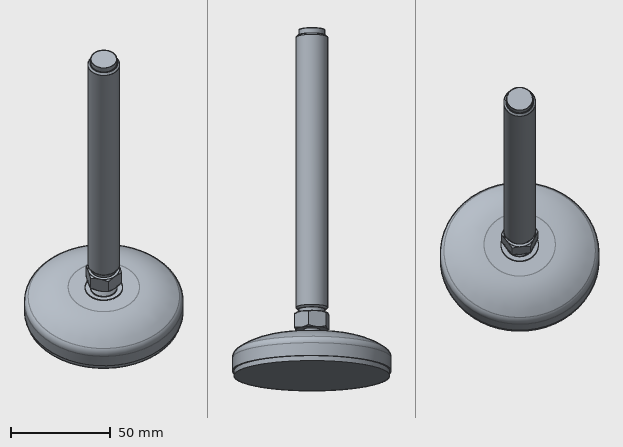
import cadquery as cq
import math

TOTAL_HEIGHT = 176.7

FOOT_DIAMETER = 79.66
PAD_DIAMETER = 78.2
PAD_HEIGHT = 2.5
RIM_TOP = 9.0
FOOT_TOP = 19.1
FOOT_FLAT_DIAMETER = 35.8
SHOULDER_RADIUS = 4.5
SOCKET_DIAMETER = 18.8
SOCKET_DEPTH = 0.5

STEM_DIAMETER = 8.06
CONE_TOP = 21.7
BALL_COLLAR_DIAMETER = 13.4

HEX_FLATS = 16.0
HEX_BOTTOM = 23.7
HEX_HEIGHT = 8.2
HEX_CHAMFER_ANGLE = 30.0
HEX_CHAMFER_DIAMETER = HEX_FLATS

SPINDLE_DIAMETER = 16.0
UNDERCUT_DIAMETER = 13.0
TIP_DIAMETER = 13.0
SPINDLE_BOTTOM = 34.9
LOWER_CHAMFER_HEIGHT = 1.0
LOWER_CHAMFER_DIAMETER = SPINDLE_DIAMETER - 2 * LOWER_CHAMFER_HEIGHT
TIP_LENGTH = 2.8
UPPER_CHAMFER_HEIGHT = 1.0
UPPER_CHAMFER_DIAMETER = SPINDLE_DIAMETER - 2 * UPPER_CHAMFER_HEIGHT


def revolve_about_z(outline):
    """Turn a closed (radius, height) outline about the Z axis."""
    return outline.close().revolve(360, (0, 0, 0), (0, 1, 0))


def cylinder(diameter, bottom, top):
    """Upright cylinder on the Z axis between two heights."""
    return cq.Workplane("XY").workplane(offset=bottom).circle(diameter / 2).extrude(top - bottom)


def make_foot():
    """Domed plate: the dome leaves the flat tangentially and blends into the vertical rim."""
    rim_radius = FOOT_DIAMETER / 2
    flat_radius = FOOT_FLAT_DIAMETER / 2
    dome_rise = FOOT_TOP - RIM_TOP
    shoulder_center = rim_radius - SHOULDER_RADIUS
    center_offset = shoulder_center - flat_radius

    height_terms = dome_rise**2 - SHOULDER_RADIUS**2
    dome_radius = (center_offset**2 + height_terms) / (2 * (dome_rise - SHOULDER_RADIUS))
    dome_center_z = FOOT_TOP - dome_radius
    blend_angle = math.asin(center_offset / (dome_radius - SHOULDER_RADIUS))

    def dome_point(angle):
        radius = flat_radius + dome_radius * math.sin(angle)
        return radius, dome_center_z + dome_radius * math.cos(angle)

    def shoulder_point(angle):
        radius = shoulder_center + SHOULDER_RADIUS * math.sin(angle)
        return radius, RIM_TOP + SHOULDER_RADIUS * math.cos(angle)

    outline = (
        cq.Workplane("XZ")
        .moveTo(0, 0)
        .lineTo(PAD_DIAMETER / 2, 0)
        .lineTo(PAD_DIAMETER / 2, PAD_HEIGHT)
        .lineTo(rim_radius, PAD_HEIGHT)
        .lineTo(rim_radius, RIM_TOP)
        .threePointArc(shoulder_point((blend_angle + math.pi / 2) / 2), dome_point(blend_angle))
        .threePointArc(dome_point(blend_angle / 2), (flat_radius, FOOT_TOP))
        .lineTo(0, FOOT_TOP)
    )
    socket = cylinder(SOCKET_DIAMETER, FOOT_TOP - SOCKET_DEPTH, FOOT_TOP)
    return revolve_about_z(outline).cut(socket)


def make_stem():
    """Cylindrical neck flaring at 45 degrees to a collar that stands in the socket."""
    stem_radius = STEM_DIAMETER / 2
    socket_floor = FOOT_TOP - SOCKET_DEPTH
    collar_radius = BALL_COLLAR_DIAMETER / 2
    cone_bottom = CONE_TOP - (collar_radius - stem_radius)
    outline = (
        cq.Workplane("XZ")
        .moveTo(0, socket_floor)
        .lineTo(collar_radius, socket_floor)
        .lineTo(collar_radius, cone_bottom)
        .lineTo(stem_radius, CONE_TOP)
        .lineTo(stem_radius, HEX_BOTTOM)
        .lineTo(0, HEX_BOTTOM)
    )
    return revolve_about_z(outline)


def make_hexagon():
    """Hexagon with flats facing +X and -X and its corners chamfered at both ends."""
    corner_radius = HEX_FLATS / math.sqrt(3)
    hex_top = HEX_BOTTOM + HEX_HEIGHT
    prism = (
        cq.Workplane("XY")
        .workplane(offset=HEX_BOTTOM)
        .polygon(6, 2 * corner_radius)
        .extrude(HEX_HEIGHT)
        .rotate((0, 0, 0), (0, 0, 1), 90)
    )
    chamfer_radius = HEX_CHAMFER_DIAMETER / 2
    chamfer_drop = (corner_radius - chamfer_radius) * math.tan(math.radians(HEX_CHAMFER_ANGLE))
    envelope = (
        cq.Workplane("XZ")
        .moveTo(0, HEX_BOTTOM)
        .lineTo(chamfer_radius, HEX_BOTTOM)
        .lineTo(corner_radius, HEX_BOTTOM + chamfer_drop)
        .lineTo(corner_radius, hex_top - chamfer_drop)
        .lineTo(chamfer_radius, hex_top)
        .lineTo(0, hex_top)
    )
    return prism.intersect(revolve_about_z(envelope))


def make_spindle():
    """Long spindle with an undercut above the hexagon and a reduced tip."""
    hex_top = HEX_BOTTOM + HEX_HEIGHT
    undercut_top = SPINDLE_BOTTOM - LOWER_CHAMFER_HEIGHT
    tip_bottom = TOTAL_HEIGHT - TIP_LENGTH
    outline = (
        cq.Workplane("XZ")
        .moveTo(0, hex_top)
        .lineTo(UNDERCUT_DIAMETER / 2, hex_top)
        .lineTo(UNDERCUT_DIAMETER / 2, undercut_top)
        .lineTo(LOWER_CHAMFER_DIAMETER / 2, undercut_top)
        .lineTo(SPINDLE_DIAMETER / 2, SPINDLE_BOTTOM)
        .lineTo(SPINDLE_DIAMETER / 2, tip_bottom - UPPER_CHAMFER_HEIGHT)
        .lineTo(UPPER_CHAMFER_DIAMETER / 2, tip_bottom)
        .lineTo(TIP_DIAMETER / 2, tip_bottom)
        .lineTo(TIP_DIAMETER / 2, TOTAL_HEIGHT)
        .lineTo(0, TOTAL_HEIGHT)
    )
    return revolve_about_z(outline)


result = make_foot().union(make_stem()).union(make_hexagon()).union(make_spindle())